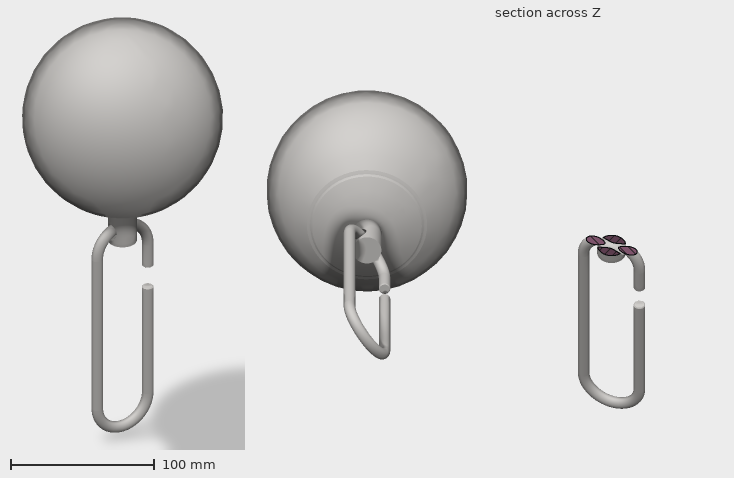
import cadquery as cq
import math

overall_height = 322.3

ball_radius = 70.0
seam_height = -57.5
groove_height = 2.5
groove_depth = 0.5

stem_diameter = 20.0
stem_bottom = -98.5
eye_diameter = 11.0

wire_diameter = 8.0
bend_radius = 21.0
upper_bend_height = -107.3
lower_bend_height = ball_radius - overall_height + wire_diameter / 2 + bend_radius
upper_tip_height = -125.7
lower_tip_height = -142.0
tip_chamfer = 0.5


def radius_at(height):
    """Radius of the ball's horizontal section at a height."""
    return math.sqrt(ball_radius**2 - height**2)


def make_ball():
    return cq.Workplane("XY").sphere(ball_radius)


def make_slab(bottom, top):
    """Square block, wider than the ball, between two heights."""
    width = 3 * ball_radius
    return cq.Workplane("XY").workplane(offset=bottom).rect(width, width).extrude(top - bottom)


def make_seam_groove():
    """Ring cutter that leaves a V groove on both sides of the seam."""
    top = seam_height + groove_height / 2
    bottom = seam_height - groove_height / 2
    return (
        cq.Workplane("XZ")
        .moveTo(radius_at(seam_height) - groove_depth, seam_height)
        .lineTo(radius_at(top), top)
        .lineTo(ball_radius, seam_height)
        .lineTo(radius_at(bottom), bottom)
        .close()
        .revolve(360, (0, 0, 0), (0, 1, 0))
    )


def make_shell():
    """Main part of the ball, above the seam."""
    return make_ball().intersect(make_slab(seam_height, ball_radius)).cut(make_seam_groove())


def make_cap():
    """Small bottom part of the ball, below the seam."""
    return make_ball().intersect(make_slab(-ball_radius, seam_height)).cut(make_seam_groove())


def make_stem():
    """Round stem whose top fits the ball and whose eye follows the hook's upper bend."""
    eye = cq.Workplane(
        cq.Solid.makeTorus(
            bend_radius,
            eye_diameter / 2,
            cq.Vector(0, 0, upper_bend_height),
            cq.Vector(1, 0, 0),
        )
    )
    return (
        cq.Workplane("XY")
        .workplane(offset=stem_bottom)
        .circle(stem_diameter / 2)
        .extrude(seam_height - stem_bottom)
        .cut(make_ball())
        .cut(eye)
    )


def make_hook():
    """Wire swept from the upper tip, through the eye and around to the lower tip."""
    path = (
        cq.Workplane("YZ")
        .moveTo(bend_radius, upper_tip_height)
        .lineTo(bend_radius, upper_bend_height)
        .threePointArc((0, upper_bend_height + bend_radius), (-bend_radius, upper_bend_height))
        .lineTo(-bend_radius, lower_bend_height)
        .threePointArc((0, lower_bend_height - bend_radius), (bend_radius, lower_bend_height))
        .lineTo(bend_radius, lower_tip_height)
    )
    wire = (
        cq.Workplane("XY", origin=(0, bend_radius, upper_tip_height))
        .circle(wire_diameter / 2)
        .sweep(path)
    )
    return wire.faces("|Z").chamfer(tip_chamfer)


shell = make_shell()
cap = make_cap()
stem = make_stem()
hook = make_hook()

bodies = [shell, cap, stem, hook]
result = cq.Compound.makeCompound([body.solids().val() for body in bodies])